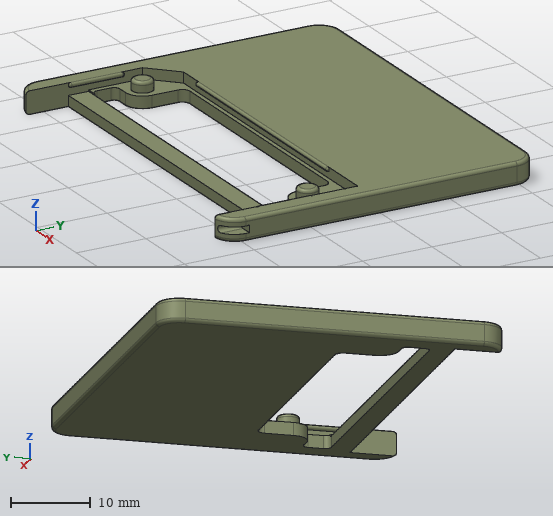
import cadquery as cq

PLATE_WIDTH = 54.0
PLATE_DEPTH = 45.0
PLATE_HEIGHT = 3.2
PLATE_CORNER_RADIUS = 3.0
PLATE_EDGE_FILLET = 0.5
PLATE_RIGHT_X = PLATE_WIDTH / 2
PLATE_FRONT_Y = -PLATE_DEPTH / 2

RECESS_HALF_WIDTH = 24.3
RECESS_BACK_Y = -1.95
RECESS_FLOOR_Z = 1.7
RECESS_CORNER_CHAMFER = 3.8

BAR_FRONT_Y = -16.4
BAR_BACK_Y = -13.5
BAR_TOP_Z = 1.5

PIN_X = 21.25
PIN_Y = -7.45
PIN_DIAMETER = 2.9
PIN_TOP_FILLET = 0.45
PAD_RADIUS = 2.45

WINDOW_BACK_Y = -2.6
WINDOW_NARROW_HALF_WIDTH = PIN_X - PAD_RADIUS
WINDOW_WIDE_HALF_WIDTH = 23.5
WINDOW_STEP_Y = PIN_Y - PAD_RADIUS
WINDOW_BACK_CORNER_RADIUS = 1.1
WINDOW_SIDE_CORNER_RADIUS = 0.8

RIDGE_RADIUS = 0.33
RIDGE_Z = PLATE_HEIGHT - RIDGE_RADIUS
BACK_RIDGE_LENGTH = 34.0
SIDE_RIDGE_LENGTH = 8.0
SIDE_RIDGE_Y = BAR_FRONT_Y + SIDE_RIDGE_LENGTH / 2

SLOT_HEIGHT = 1.0
SLOT_LEFT_X = 24.85
SLOT_BACK_Y = -19.0


def make_plate():
    """Rounded rectangular plate with filleted top and bottom rims."""
    plate = cq.Workplane("XY").rect(PLATE_WIDTH, PLATE_DEPTH).extrude(PLATE_HEIGHT)
    plate = plate.edges("|Z").fillet(PLATE_CORNER_RADIUS)
    return plate.faces("<Z or >Z").edges().fillet(PLATE_EDGE_FILLET)


def make_recess():
    """Recess down to the floor, with its left back corner cut off at 45 degrees."""
    return (
        cq.Workplane("XY", origin=(0, 0, RECESS_FLOOR_Z))
        .moveTo(-RECESS_HALF_WIDTH, PLATE_FRONT_Y)
        .lineTo(-RECESS_HALF_WIDTH, RECESS_BACK_Y - RECESS_CORNER_CHAMFER)
        .lineTo(-RECESS_HALF_WIDTH + RECESS_CORNER_CHAMFER, RECESS_BACK_Y)
        .lineTo(RECESS_HALF_WIDTH, RECESS_BACK_Y)
        .lineTo(RECESS_HALF_WIDTH, PLATE_FRONT_Y)
        .close()
        .extrude(PLATE_HEIGHT - RECESS_FLOOR_Z)
    )


def make_block(half_width, front_y, back_y, bottom_z=0.0):
    """Block up to the plate's top, symmetric in X, between two Y positions."""
    return (
        cq.Workplane("XY", origin=(0, 0, bottom_z))
        .center(0, (front_y + back_y) / 2)
        .rect(2 * half_width, back_y - front_y)
        .extrude(PLATE_HEIGHT - bottom_z)
    )


def make_window():
    """T-shaped opening whose inner steps follow the round pads."""
    narrow = make_block(WINDOW_NARROW_HALF_WIDTH, BAR_BACK_Y, WINDOW_BACK_Y)
    narrow = narrow.edges("|Z and >Y").fillet(WINDOW_BACK_CORNER_RADIUS)
    wide = make_block(WINDOW_WIDE_HALF_WIDTH, BAR_BACK_Y, WINDOW_STEP_Y)
    wide = wide.edges("|Z").fillet(WINDOW_SIDE_CORNER_RADIUS)
    step_corners = cq.selectors.BoxSelector(
        (-PIN_X, WINDOW_STEP_Y - PAD_RADIUS / 2, 0),
        (PIN_X, WINDOW_STEP_Y + PAD_RADIUS / 2, PLATE_HEIGHT),
    )
    return narrow.union(wide).edges("|Z").edges(step_corners).fillet(PAD_RADIUS)


def make_pin(x):
    """Round-topped pin rising from the recess floor to the plate's top."""
    return (
        cq.Workplane("XY", origin=(x, PIN_Y, RECESS_FLOOR_Z))
        .circle(PIN_DIAMETER / 2)
        .extrude(PLATE_HEIGHT - RECESS_FLOOR_Z)
        .faces(">Z")
        .edges()
        .fillet(PIN_TOP_FILLET)
    )


def make_ridge(length, x, y, turn):
    """Bead with spherical ends, along X and turned about Z, centred at (x, y)."""
    half = length / 2
    shoulder = half - RIDGE_RADIUS
    bead = (
        cq.Workplane("XY")
        .moveTo(-half, 0)
        .radiusArc((-shoulder, RIDGE_RADIUS), RIDGE_RADIUS)
        .lineTo(shoulder, RIDGE_RADIUS)
        .radiusArc((half, 0), RIDGE_RADIUS)
        .close()
        .revolve(360, (0, 0, 0), (1, 0, 0))
    )
    return bead.rotate((0, 0, 0), (0, 0, 1), turn).translate((x, y, RIDGE_Z))


def make_slot():
    """Corner slot with a round inner end."""
    end_x = SLOT_LEFT_X + SLOT_HEIGHT / 2
    middle_z = PLATE_HEIGHT / 2
    depth = SLOT_BACK_Y - PLATE_FRONT_Y
    plane = cq.Workplane("XZ", origin=(0, SLOT_BACK_Y, 0))
    return (
        plane.moveTo(PLATE_RIGHT_X, middle_z - SLOT_HEIGHT / 2)
        .lineTo(end_x, middle_z - SLOT_HEIGHT / 2)
        .threePointArc((SLOT_LEFT_X, middle_z), (end_x, middle_z + SLOT_HEIGHT / 2))
        .lineTo(PLATE_RIGHT_X, middle_z + SLOT_HEIGHT / 2)
        .close()
        .extrude(depth)
    )


result = make_plate().cut(make_recess())
result = result.cut(make_block(RECESS_HALF_WIDTH, PLATE_FRONT_Y, BAR_FRONT_Y))
result = result.cut(make_block(RECESS_HALF_WIDTH, BAR_FRONT_Y, BAR_BACK_Y, BAR_TOP_Z))
result = result.cut(make_window())
result = result.union(make_ridge(BACK_RIDGE_LENGTH, 0, RECESS_BACK_Y, 0))
for side in (-1, 1):
    result = result.union(make_pin(side * PIN_X))
    result = result.union(make_ridge(SIDE_RIDGE_LENGTH, side * RECESS_HALF_WIDTH, SIDE_RIDGE_Y, 90))
result = result.cut(make_slot())